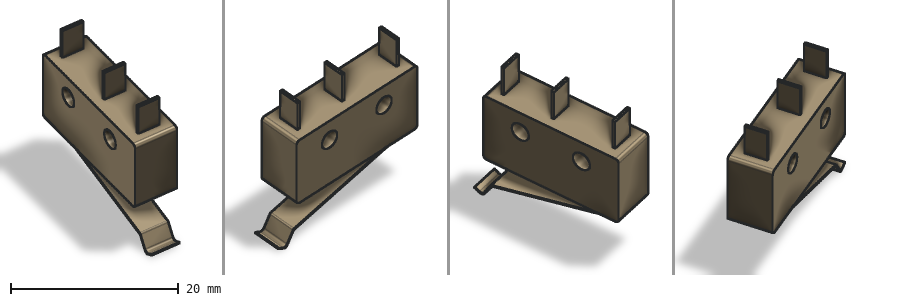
import cadquery as cq
import math

overall_length = 22.0
body_length = 19.95
body_height = 10.0
body_depth = 6.0
corner_radius = 0.5

hole_diameter = 2.5
hole_height = 7.0
hole_positions = (5.5, 14.5)

terminal_thickness = 0.4
terminal_width = body_depth / 2
terminal_height = 4.25
terminal_positions = (1.6, 10.62, 17.97)

lever_width = body_depth * 2 / 3
arm_thickness = 0.2
foot_thickness = 0.15
lever_start = 3.0
lever_stem = 1.0
lever_knee_x = 19.46
lever_knee_z = -5.0
lever_reach = 6.97
foot_angle = 59.0
tip_angle = 28.0
knee_radius = 0.33
bend_radius = 0.5


def make_body():
    body = (
        cq.Workplane("XY")
        .box(body_length, body_depth, body_height, centered=(False, True, False))
        .edges("|Y")
        .fillet(corner_radius)
    )
    holes = (
        cq.Workplane("XZ")
        .pushPoints([(x, hole_height) for x in hole_positions])
        .circle(hole_diameter / 2)
        .extrude(body_depth / 2, both=True)
    )
    return body.cut(holes)


def make_terminal(left):
    return (
        cq.Workplane("XY", origin=(left, 0, body_height))
        .box(terminal_thickness, terminal_width, terminal_height, centered=(False, True, False))
    )


def lower_edge():
    """Sharp-cornered lower edge of the lever, as (x, z) points from body to tip."""
    foot = math.radians(foot_angle)
    tip = math.radians(tip_angle)
    half_turn = (foot + tip) / 2
    center_rise = bend_radius * math.cos((foot - tip) / 2) / math.cos(half_turn)
    corner_z = -lever_reach + bend_radius - center_rise
    corner_x = lever_knee_x + (lever_knee_z - corner_z) / math.tan(foot)
    tip_z = corner_z + (overall_length - corner_x) * math.tan(tip)
    return [
        (lever_start, 0),
        (lever_start, -lever_stem),
        (lever_knee_x, lever_knee_z),
        (corner_x, corner_z),
        (overall_length, tip_z),
    ]


def offset_left(points, distances):
    """Shift each segment of an open path to its left, keeping the corners sharp."""
    normals = []
    for (x0, z0), (x1, z1) in zip(points, points[1:]):
        length = math.hypot(x1 - x0, z1 - z0)
        normals.append(((z0 - z1) / length, (x1 - x0) / length))

    def shift(point, normal, distance):
        return point[0] + normal[0] * distance, point[1] + normal[1] * distance

    shifted = [shift(points[0], normals[0], distances[0])]
    for i in range(1, len(points) - 1):
        (ax, az), (bx, bz) = normals[i - 1], normals[i]
        cross = ax * bz - az * bx
        move_x = (distances[i - 1] * bz - distances[i] * az) / cross
        move_z = (distances[i] * ax - distances[i - 1] * bx) / cross
        shifted.append((points[i][0] + move_x, points[i][1] + move_z))
    shifted.append(shift(points[-1], normals[-1], distances[-1]))
    return shifted


def make_lever():
    lower = lower_edge()
    upper = offset_left(lower, [arm_thickness] * 2 + [foot_thickness] * 2)
    lever = (
        cq.Workplane("XZ")
        .polyline(lower + upper[::-1])
        .close()
        .extrude(lever_width / 2, both=True)
    )
    for path in (lower, upper):
        for (x, z), radius in zip(path[2:4], (knee_radius, bend_radius)):
            lever = lever.edges(cq.NearestToPointSelector((x, 0, z))).fillet(radius)
    return lever


result = make_body().union(make_lever())
for position in terminal_positions:
    result = result.union(make_terminal(position))